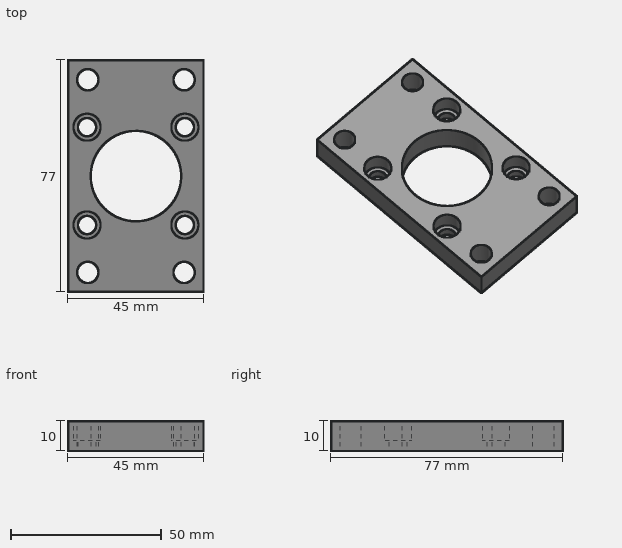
import cadquery as cq

plate_width = 45.0
plate_length = 77.0
plate_thickness = 10.0

bore_diameter = 30.0

corner_hole_diameter = 7.0
corner_spacing_x = 32.0
corner_spacing_y = 64.0

screw_spacing = 32.5
screw_hole_diameter = 6.0
counterbore_diameter = 9.0
counterbore_depth = 6.5


def make_plate():
    return cq.Workplane("XY").box(
        plate_width, plate_length, plate_thickness, centered=(True, True, False)
    )


def cut_bore(body):
    return body.faces(">Z").workplane(origin=(0, 0, 0)).hole(bore_diameter)


def cut_corner_holes(body):
    return (
        body.faces(">Z")
        .workplane(origin=(0, 0, 0))
        .rarray(corner_spacing_x, corner_spacing_y, 2, 2)
        .hole(corner_hole_diameter)
    )


def cut_screw_holes(body):
    return (
        body.faces(">Z")
        .workplane(origin=(0, 0, 0))
        .rarray(screw_spacing, screw_spacing, 2, 2)
        .cboreHole(screw_hole_diameter, counterbore_diameter, counterbore_depth)
    )


plate = make_plate()
plate = cut_bore(plate)
plate = cut_corner_holes(plate)
result = cut_screw_holes(plate)